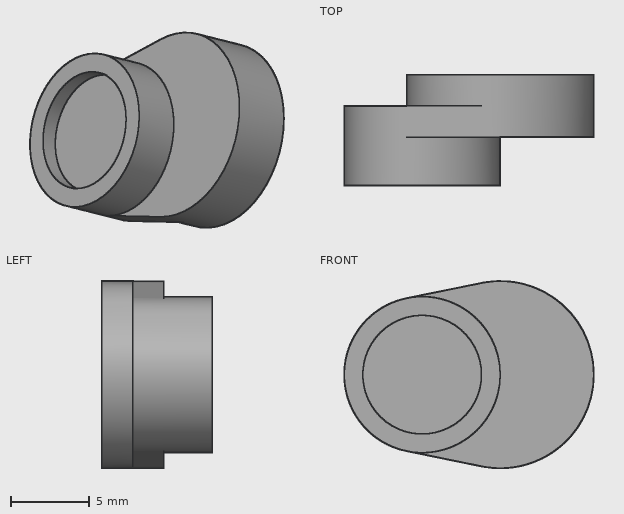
import cadquery as cq
import math

boss_diameter = 10.0
disc_diameter = 12.0
bore_diameter = 7.6
bore_depth = 1.1
boss_projection = 3.1
web_thickness = 2.0
disc_thickness = 4.0

boss_radius = boss_diameter / 2
disc_radius = disc_diameter / 2
disc_offset = boss_radius
boss_length = boss_projection + web_thickness


def cylinder(x, front_y, radius, length):
    """Cylinder along +Y, starting at front_y, with its axis at x."""
    return cq.Workplane("XZ", origin=(x, front_y, 0)).circle(radius).extrude(-length)


def tangent_web():
    """Web between the outer tangents of the boss and the disc, cut off at the tangent points."""
    tangent_sine = (disc_radius - boss_radius) / disc_offset
    tangent_cosine = math.sqrt(1 - tangent_sine**2)
    boss_x = -boss_radius * tangent_sine
    boss_z = boss_radius * tangent_cosine
    disc_x = disc_offset - disc_radius * tangent_sine
    disc_z = disc_radius * tangent_cosine
    return (
        cq.Workplane("XZ", origin=(0, boss_projection, 0))
        .polyline([(boss_x, boss_z), (disc_x, disc_z), (disc_x, -disc_z), (boss_x, -boss_z)])
        .close()
        .extrude(-web_thickness)
    )


boss = cylinder(0, 0, boss_radius, boss_length)
disc = cylinder(disc_offset, boss_projection, disc_radius, disc_thickness)
bore = cylinder(0, 0, bore_diameter / 2, bore_depth)

result = tangent_web().union(boss).union(disc).cut(bore)